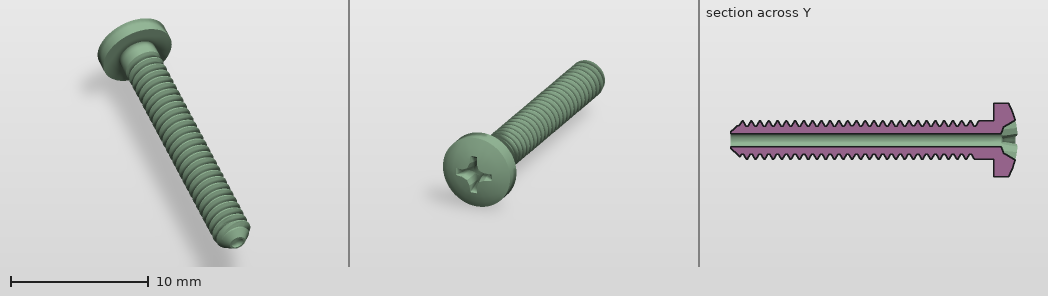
import cadquery as cq
import math

length = 20.8

head_radius = 2.68
head_height = 1.73
crown_height = 0.67

major_radius = 1.41
minor_radius = 1.04
turns_under_head = 30
pitch = (length - head_height) / turns_under_head
crest_flat = pitch / 8
flank_angle = 30.0
tip_radius = 0.6
tip_length = 0.87

groove_start_x = 2.85
groove_start_angle = -45.0
groove_overrun = 0.62
stock_length = length + 2 * groove_overrun
cut_clearance = 0.05

bore_radius = 0.45
recess_depth = 1.2
wing_reach_top = 1.54
wing_reach_bottom = 0.83
wing_width_top = 0.6
wing_width_bottom = 0.19
corner_cut_top = 0.58
corner_cut_bottom = 0.67
corner_flat_angle = 22.5
floor_angle = 20.0


def crown_drop(radius):
    """How far the crown falls back from its apex at a given radius."""
    crown_radius = (head_radius**2 + crown_height**2) / (2 * crown_height)
    return crown_radius - math.sqrt(crown_radius**2 - radius**2)


def corner_ridge(width, corner_cut):
    """Y and Z of the ridge where the two flats between neighbouring wings meet."""
    flat_slope = math.tan(math.radians(corner_flat_angle))
    return width / 2 + corner_cut * flat_slope / (1 + flat_slope)


apex_x = -crown_drop(math.sqrt(2) * corner_ridge(wing_width_top, corner_cut_top))


def make_blank():
    """Head and overlong cylindrical shank turned in one piece about the X axis."""
    mid_radius = head_radius / 2
    return (
        cq.Workplane("XY")
        .moveTo(apex_x, 0)
        .threePointArc((apex_x + crown_drop(mid_radius), mid_radius), (apex_x + crown_height, head_radius))
        .lineTo(head_height, head_radius)
        .lineTo(head_height, major_radius)
        .lineTo(stock_length, major_radius)
        .lineTo(stock_length, 0)
        .close()
        .revolve(360, (0, 0, 0), (1, 0, 0))
    )


def make_tip_waste():
    """Stock outside the tip cone and beyond the finished length."""
    clear_radius = major_radius + cut_clearance
    waste_end = stock_length + cut_clearance
    return (
        cq.Workplane("XY")
        .moveTo(length - tip_length, major_radius)
        .lineTo(length, tip_radius)
        .lineTo(length, 0)
        .lineTo(waste_end, 0)
        .lineTo(waste_end, clear_radius)
        .lineTo(length - tip_length, clear_radius)
        .close()
        .revolve(360, (0, 0, 0), (1, 0, 0))
    )


def make_thread_groove():
    """Right-handed V groove with a flat root, running on into the tip waste."""
    flank_slope = math.tan(math.radians(flank_angle))
    cut_radius = major_radius + cut_clearance
    mouth_half = (pitch - crest_flat) / 2 + cut_clearance * flank_slope
    root_half = mouth_half - (cut_radius - minor_radius) * flank_slope
    groove_length = length + groove_overrun - groove_start_x
    path = cq.Wire.makeHelix(pitch, groove_length, minor_radius)
    profile = (
        cq.Workplane("XZ")
        .moveTo(minor_radius, -root_half)
        .lineTo(cut_radius, -mouth_half)
        .lineTo(cut_radius, mouth_half)
        .lineTo(minor_radius, root_half)
        .close()
    )
    groove = profile.sweep(cq.Workplane(path), isFrenet=True)
    return (
        groove.rotate((0, 0, 0), (1, 1, 1), 120)
        .rotate((0, 0, 0), (1, 0, 0), groove_start_angle)
        .translate((groove_start_x, 0, 0))
    )


def cross_outline(plane, reach, width, corner_cut):
    """Four-wing cross with two flats across each inner corner."""
    half = width / 2
    flat_end = half + corner_cut
    ridge = corner_ridge(width, corner_cut)
    quarter = [(reach, -half), (reach, half), (flat_end, half), (ridge, ridge), (half, flat_end)]
    points = []
    for _ in range(4):
        points += quarter
        quarter = [(-z, y) for y, z in quarter]
    return plane.polyline(points).close()


def make_recess():
    """Tapered cross, limited in depth by a cone, together with the central bore."""
    top_plane = cq.Workplane("YZ", origin=(apex_x, 0, 0))
    top = cross_outline(top_plane, wing_reach_top, wing_width_top, corner_cut_top)
    bottom_plane = top.workplane(offset=recess_depth)
    bottom = cross_outline(bottom_plane, wing_reach_bottom, wing_width_bottom, corner_cut_bottom)
    cross = bottom.loft(ruled=True, combine=True)

    cone_depth = recess_depth + bore_radius * math.tan(math.radians(floor_angle))
    cone_radius = cone_depth / math.tan(math.radians(floor_angle))
    cone_axis = cq.Vector(1, 0, 0)
    floor_cone = cq.Solid.makeCone(cone_radius, 0, cone_depth, cq.Vector(apex_x, 0, 0), cone_axis)

    bore = cq.Workplane("YZ").circle(bore_radius).extrude(length)
    return cross.intersect(cq.Workplane(floor_cone)).union(bore)


threaded = make_blank().cut(make_thread_groove()).cut(make_tip_waste())
result = threaded.cut(make_recess())